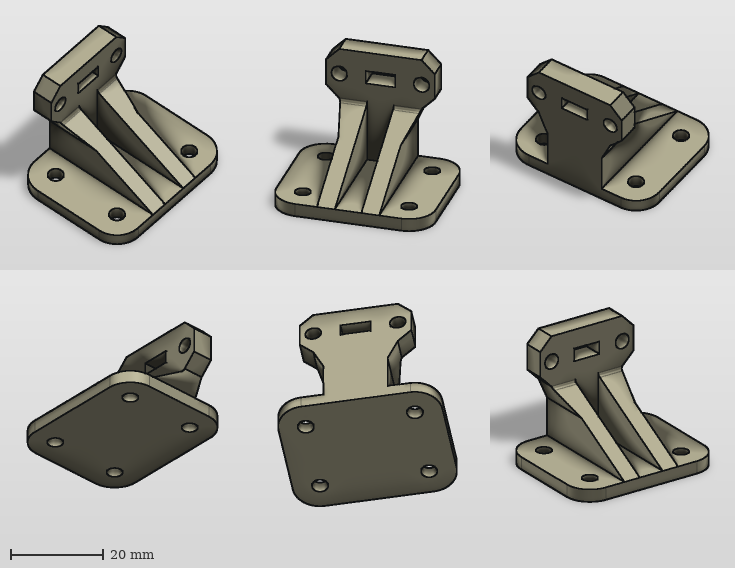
import cadquery as cq

base_length = 29.5
base_width = 36
base_thickness = 3.0
corner_radius = 6.0
hole_diameter = 3.5

total_height = 29.0
plate_thickness = 5.0
head_width = 24.55
head_chamfer = 3.0
head_side_height = 6.0
neck_width = 14.08
neck_taper_bottom = 12.0
hole_drop = 6.0
window_width = 6.62
window_height = 3.0

channel_width = 6.0
rib_top = 16.55
rib_fillet = 1.0

head_half = head_width / 2
shoulder_half = head_half - head_chamfer
neck_half = neck_width / 2
head_side_top = total_height - head_chamfer
head_side_bottom = head_side_top - head_side_height
head_bottom = head_side_bottom - head_chamfer
hole_height = total_height - hole_drop


def make_base():
    block = cq.Workplane("XY").box(
        base_length, base_width, base_thickness, centered=(False, True, False)
    )
    hole_spacing_x = base_length - 2 * corner_radius
    hole_spacing_y = base_width - 2 * corner_radius
    return (
        block.edges("|Z").fillet(corner_radius)
        .faces(">Z").workplane(centerOption="CenterOfBoundBox")
        .rarray(hole_spacing_x, hole_spacing_y, 2, 2)
        .hole(hole_diameter)
    )


def extruded_outline(length):
    """Head and tapered neck outline, extruded along X."""
    right_side = [
        (neck_half, base_thickness),
        (neck_half, neck_taper_bottom),
        (shoulder_half, head_bottom),
        (head_half, head_side_bottom),
        (head_half, head_side_top),
        (shoulder_half, total_height),
    ]
    left_side = [(-y, z) for y, z in reversed(right_side)]
    return cq.Workplane("YZ").polyline(right_side + left_side).close().extrude(length)


def make_support():
    """Plate and sloping ribs, with the channel between the ribs removed."""
    side_profile = (
        cq.Workplane("XZ")
        .polyline([
            (0, base_thickness),
            (base_length, base_thickness),
            (plate_thickness, rib_top),
            (plate_thickness, total_height),
            (0, total_height),
        ])
        .close()
        .extrude(head_half, both=True)
    )
    inner_corner = cq.selectors.NearestToPointSelector((plate_thickness, 0, rib_top))
    side_profile = side_profile.edges("|Y").edges(inner_corner).fillet(rib_fillet)
    channel = (
        cq.Workplane("XY")
        .box(base_length, channel_width, total_height, centered=(False, True, False))
        .translate((plate_thickness, 0, base_thickness))
    )
    return extruded_outline(base_length).intersect(side_profile).cut(channel)


def make_plate_openings():
    """Two round holes and a rectangular window through the plate."""
    face = cq.Workplane("YZ", origin=(0, 0, hole_height))
    holes = (
        face.pushPoints([(-shoulder_half, 0), (shoulder_half, 0)])
        .circle(hole_diameter / 2)
        .extrude(plate_thickness)
    )
    window = face.rect(window_width, window_height).extrude(plate_thickness)
    return holes.union(window)


result = make_base().union(make_support()).cut(make_plate_openings())